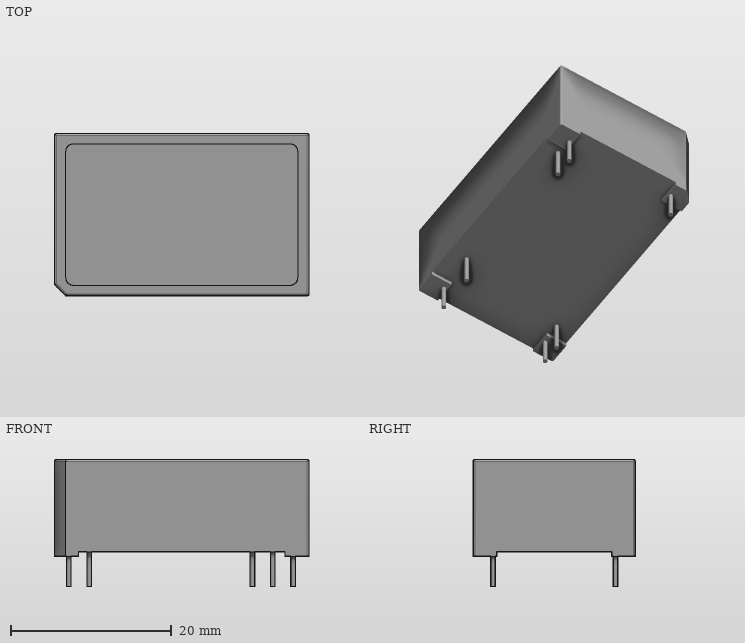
import cadquery as cq

LENGTH = 31.7
WIDTH = 20.2
HEIGHT = 15.82

STANDOFF = 3.77
FOOT_HEIGHT = 0.57
FOOT_LENGTH = 3.05
FOOT_WIDTH = 2.95
CORNER_CUT = 1.43
EDGE_ROUND = 0.25

LABEL_MARGIN_X = 1.43
LABEL_MARGIN_Y = 1.3
LABEL_RADIUS = 0.95
LABEL_THICKNESS = 0.15

PIN_DIAMETER = 0.6
PIN_PITCH = 2.55
FIRST_PIN_X = 1.8
ROW_SPACING = 15.22
FRONT_COLUMNS = (0, 10, 11)
BACK_COLUMNS = (0, 1, 9, 11)

underside_z = STANDOFF + FOOT_HEIGHT
front_row_y = (WIDTH - ROW_SPACING) / 2
back_row_y = front_row_y + ROW_SPACING


def make_block():
    """Rounded block with one cut corner and an open underside."""
    block = cq.Workplane("XY").box(LENGTH, WIDTH, HEIGHT - STANDOFF, centered=False)
    block = block.translate((0, 0, STANDOFF))
    block = block.edges("|Z and <X and <Y").chamfer(CORNER_CUT)
    block = block.edges("|Z and (>X or >Y)").fillet(EDGE_ROUND)
    return block.faces(">Z").edges().fillet(EDGE_ROUND)


def cut_feet(block):
    """Clear a channel along each axis so that only four corner feet remain."""
    channel_along_y = cq.Workplane("XY").box(
        LENGTH - 2 * FOOT_LENGTH, WIDTH, FOOT_HEIGHT, centered=False
    ).translate((FOOT_LENGTH, 0, STANDOFF))
    channel_along_x = cq.Workplane("XY").box(
        LENGTH, WIDTH - 2 * FOOT_WIDTH, FOOT_HEIGHT, centered=False
    ).translate((0, FOOT_WIDTH, STANDOFF))
    return block.cut(channel_along_y).cut(channel_along_x)


def make_label():
    """Thin plate with rounded corners, flush with the housing top."""
    return (
        cq.Workplane("XY", origin=(LENGTH / 2, WIDTH / 2, HEIGHT - LABEL_THICKNESS))
        .rect(LENGTH - 2 * LABEL_MARGIN_X, WIDTH - 2 * LABEL_MARGIN_Y)
        .extrude(LABEL_THICKNESS)
        .edges("|Z")
        .fillet(LABEL_RADIUS)
    )


def make_pin(column, row_y):
    """Round pin hanging from the recessed underside down to z = 0."""
    pin_x = FIRST_PIN_X + column * PIN_PITCH
    return cq.Workplane("XY", origin=(pin_x, row_y, 0)).circle(PIN_DIAMETER / 2).extrude(underside_z)


label = make_label()

pins = []
for columns, row_y in ((FRONT_COLUMNS, front_row_y), (BACK_COLUMNS, back_row_y)):
    for column in columns:
        pins.append(make_pin(column, row_y))

housing = cut_feet(make_block()).cut(label)
for pin in pins:
    housing = housing.cut(pin)

result = cq.Compound.makeCompound([housing.val(), label.val(), *[pin.val() for pin in pins]])